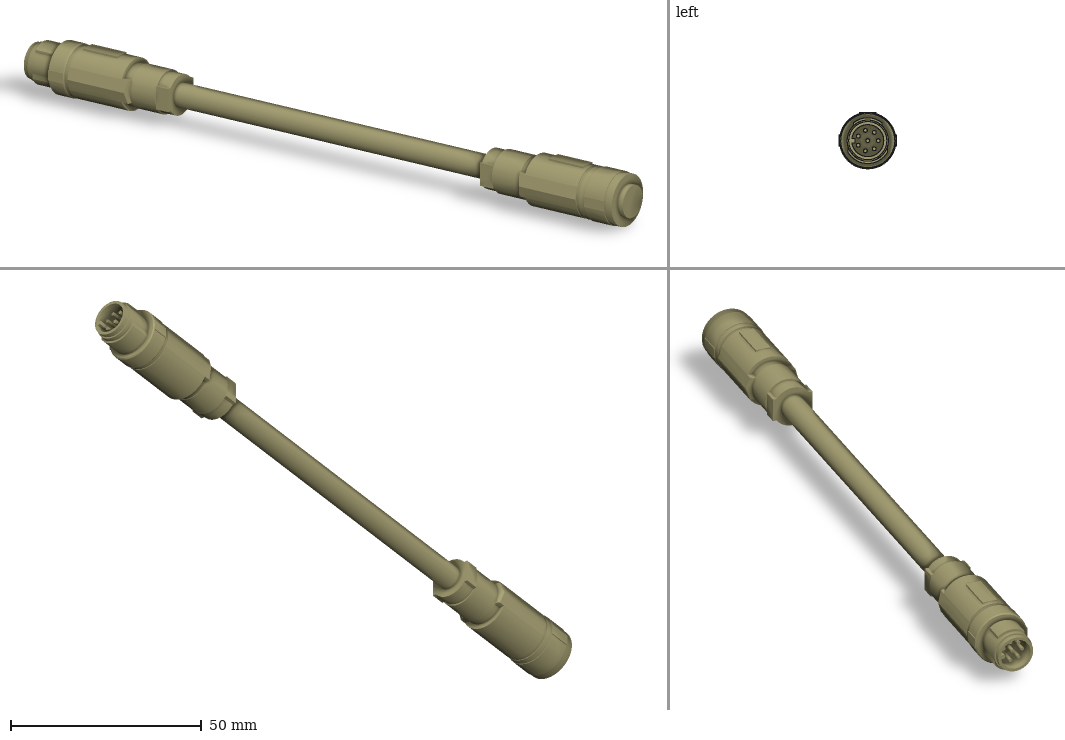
import cadquery as cq
import math

TOTAL_LENGTH = 191.8
COLLAR_RADIUS = 7.395
SIDE_REACH = 7.5

TIP_END = 1.5
PLUG_COLLAR_START = 9.3
PLUG_COLLAR_END = 14.5
COLLAR_BEVEL = 0.3
PLUG_BODY_START = 15.7
PLUG_BODY_END = 32.5
PLUG_NECK_END = 34.8
PLUG_GRIP_END = 42.9
PLUG_SLEEVE_END = 46.9

SOCKET_SLEEVE_START = 146.8
SOCKET_GRIP_START = 150.9
SOCKET_NECK_START = 159.6
SOCKET_BODY_START = 161.8
SOCKET_BODY_END = 178.6
SOCKET_RING_START = 179.6
SOCKET_COLLAR_START = 181.4
SOCKET_RIM_START = 187.7
SOCKET_COLLAR_END = 190.1

TIP_RADIUS = 5.0
HEAD_RADIUS = 5.4
LUG_RADIUS = 6.0
GROOVE_RADIUS = 7.0
BODY_RADIUS = 7.2
NECK_RADIUS = 5.85
GRIP_RADIUS = 6.05
SLEEVE_RADIUS = 5.6
CABLE_RADIUS = 3.35
NOSE_RADIUS = 4.5

LUG_START = 2.9
UPPER_LUG_END = 8.3
UPPER_LUG_HALF_WIDTH = 3.8
LOWER_LUG_HALF_WIDTH = 5.15

CAVITY_RADIUS = 4.2
CAVITY_DEPTH = 8.5
KEY_WIDTH = 1.2
KEY_HEIGHT = 0.9
PIN_RADIUS = 0.5
PIN_CIRCLE_RADIUS = 2.75
PIN_TIP = 2.0
OUTER_PINS = 7

PANEL_HALF_HEIGHT = 3.2
PANEL_TAPER = 1.0
COLLAR_PAD_HALF_HEIGHT = 1.45
SLEEVE_PAD_REACH = 5.65
LABEL_LENGTH = 11.1
LABEL_HALF_WIDTH = 2.1
LABEL_SETBACK = 1.2


def cylinder(start, end, radius):
    """Cylinder on the X axis."""
    return cq.Workplane("YZ").workplane(offset=start).circle(radius).extrude(end - start)


def block(x_start, x_end, y_start, y_end, z_start, z_end):
    """Axis-aligned box between two corners."""
    size = (x_end - x_start, y_end - y_start, z_end - z_start)
    return cq.Workplane("XY").box(*size, centered=False).translate((x_start, y_start, z_start))


def side_pads(start, end, reach, half_height):
    """Flat bar through the axis whose two ends stand out as pads on -Y and +Y."""
    return block(start, end, -reach, reach, -half_height, half_height)


def revolved_core():
    """Stepped round body of the whole cordset."""
    steps = [
        (TIP_END, TIP_RADIUS),
        (PLUG_COLLAR_START, HEAD_RADIUS),
        (PLUG_COLLAR_END, COLLAR_RADIUS),
        (PLUG_BODY_START, GROOVE_RADIUS),
        (PLUG_BODY_END, BODY_RADIUS),
        (PLUG_NECK_END, NECK_RADIUS),
        (PLUG_GRIP_END, GRIP_RADIUS),
        (PLUG_SLEEVE_END, SLEEVE_RADIUS),
        (SOCKET_SLEEVE_START, CABLE_RADIUS),
        (SOCKET_GRIP_START, SLEEVE_RADIUS),
        (SOCKET_NECK_START, GRIP_RADIUS),
        (SOCKET_BODY_START, NECK_RADIUS),
        (SOCKET_BODY_END, BODY_RADIUS),
        (SOCKET_RING_START, GROOVE_RADIUS),
        (SOCKET_COLLAR_START, BODY_RADIUS),
        (SOCKET_RIM_START, COLLAR_RADIUS),
        (SOCKET_COLLAR_END, BODY_RADIUS),
        (TOTAL_LENGTH, NOSE_RADIUS),
    ]
    profile = cq.Workplane("XZ").moveTo(0, 0)
    start = 0
    for end, radius in steps:
        profile = profile.lineTo(start, radius).lineTo(end, radius)
        start = end
    return profile.lineTo(TOTAL_LENGTH, 0).close().revolve(360, (0, 0, 0), (1, 0, 0))


def collar_bevel(rim, direction):
    """Ring that chamfers a plug collar rim; direction points from the rim into the collar."""
    section = [
        (rim, COLLAR_RADIUS - COLLAR_BEVEL),
        (rim, COLLAR_RADIUS),
        (rim + direction * COLLAR_BEVEL, COLLAR_RADIUS),
    ]
    return cq.Workplane("XZ").polyline(section).close().revolve(360, (0, 0, 0), (1, 0, 0))


def lug(end, half_width, side):
    """Raised arc on the plug head, above (side = 1) or below (side = -1) the axis."""
    band = cylinder(LUG_START, end, LUG_RADIUS)
    z_start, z_end = sorted((0, side * COLLAR_RADIUS))
    return band.intersect(block(LUG_START, end, -half_width, half_width, z_start, z_end))


def ridge_panel(collar_end, outer_end, side):
    """Side panel of two flats meeting in a ridge; its cable end slopes down to the neck."""
    corner_y = math.sqrt(BODY_RADIUS**2 - PANEL_HALF_HEIGHT**2)
    section = [
        (0, -PANEL_HALF_HEIGHT),
        (side * corner_y, -PANEL_HALF_HEIGHT),
        (side * SIDE_REACH, 0),
        (side * corner_y, PANEL_HALF_HEIGHT),
        (0, PANEL_HALF_HEIGHT),
    ]
    base_end = outer_end + math.copysign(PANEL_TAPER, outer_end - collar_end)
    panel = cq.Workplane("YZ").workplane(offset=collar_end).polyline(section).close()
    panel = panel.extrude(base_end - collar_end)
    side_outline = [
        (collar_end, 0),
        (base_end, 0),
        (base_end, side * NECK_RADIUS),
        (outer_end, side * SIDE_REACH),
        (collar_end, side * SIDE_REACH),
    ]
    limit = cq.Workplane("XY").polyline(side_outline).close()
    return panel.intersect(limit.extrude(PANEL_HALF_HEIGHT, both=True))


def panel_clearance(start, end, side):
    """Body material outside the two flats, removed before a ridge panel is added."""
    y_start, y_end = sorted((0, side * 2 * COLLAR_RADIUS))
    return block(start, end, y_start, y_end, -PANEL_HALF_HEIGHT, PANEL_HALF_HEIGHT)


def label(start):
    """Flat label pad on top of a body."""
    return block(start, start + LABEL_LENGTH, -LABEL_HALF_WIDTH, LABEL_HALF_WIDTH, 0, COLLAR_RADIUS)


def contact_cavity():
    """Cavity in the plug face, less the coding key and the pins."""
    cavity = cylinder(0, CAVITY_DEPTH, CAVITY_RADIUS)
    key = block(0, CAVITY_DEPTH, CAVITY_RADIUS - KEY_HEIGHT, CAVITY_RADIUS, -KEY_WIDTH / 2, KEY_WIDTH / 2)
    cavity = cavity.cut(key)
    pin = cylinder(PIN_TIP, CAVITY_DEPTH, PIN_RADIUS)
    cavity = cavity.cut(pin)
    for index in range(OUTER_PINS):
        angle = math.pi + index * 2 * math.pi / OUTER_PINS
        y = PIN_CIRCLE_RADIUS * math.cos(angle)
        z = PIN_CIRCLE_RADIUS * math.sin(angle)
        cavity = cavity.cut(pin.translate((0, y, z)))
    return cavity


result = revolved_core()
result = result.cut(collar_bevel(PLUG_COLLAR_START, 1))
result = result.cut(collar_bevel(PLUG_COLLAR_END, -1))

panel_spans = [
    (PLUG_BODY_START, PLUG_BODY_END, PLUG_NECK_END - PANEL_TAPER),
    (SOCKET_BODY_END, SOCKET_BODY_START, SOCKET_NECK_START + PANEL_TAPER),
]
for collar_end, body_end, outer_end in panel_spans:
    for side in (-1, 1):
        clearance = panel_clearance(min(collar_end, body_end), max(collar_end, body_end), side)
        result = result.cut(clearance).union(ridge_panel(collar_end, outer_end, side))

pad_spans = [
    (PLUG_COLLAR_START + COLLAR_BEVEL, PLUG_COLLAR_END - COLLAR_BEVEL, SIDE_REACH, COLLAR_PAD_HALF_HEIGHT),
    (SOCKET_COLLAR_START, SOCKET_RIM_START, SIDE_REACH, COLLAR_PAD_HALF_HEIGHT),
    (PLUG_GRIP_END, PLUG_SLEEVE_END, SLEEVE_PAD_REACH, PANEL_HALF_HEIGHT),
    (SOCKET_SLEEVE_START, SOCKET_GRIP_START, SLEEVE_PAD_REACH, PANEL_HALF_HEIGHT),
]
for pad in pad_spans:
    result = result.union(side_pads(*pad))

result = result.union(label(PLUG_BODY_START + LABEL_SETBACK))
result = result.union(label(SOCKET_BODY_END - LABEL_SETBACK - LABEL_LENGTH))

result = result.union(lug(UPPER_LUG_END, UPPER_LUG_HALF_WIDTH, 1))
result = result.union(lug(PLUG_COLLAR_START, LOWER_LUG_HALF_WIDTH, -1))

result = result.cut(contact_cavity())